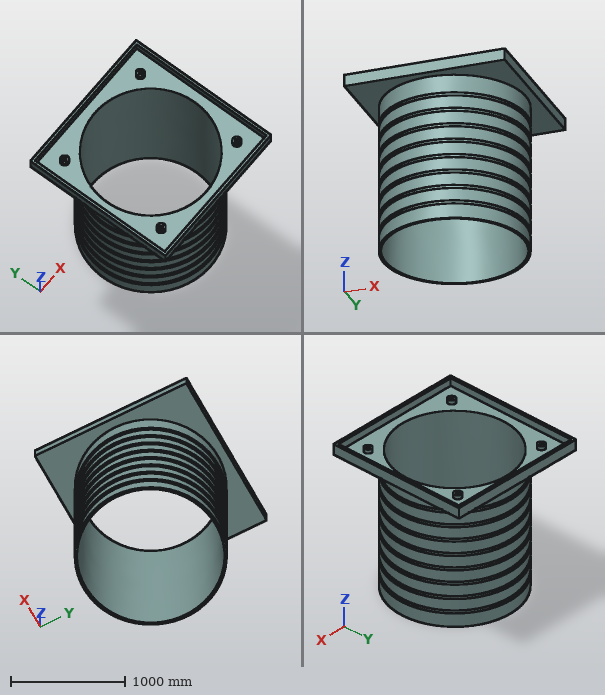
import cadquery as cq

HEIGHT = 1500
FRAME_SIDE = 1500

TRAY_HEIGHT = 110
RIM_WIDTH = 30
POCKET_DEPTH = 80

TUBE_DIAMETER = 1330
GROOVE_DIAMETER = 1320
BORE_TOP_DIAMETER = 1240
BORE_BOTTOM_DIAMETER = 1290
GROOVE_COUNT = 8
GROOVE_PITCH = 150
GROOVE_WIDTH = 30
FIRST_GROOVE_BOTTOM = 140

BUSHING_DIAMETER = 80
BUSHING_HOLE_DIAMETER = 35
BUSHING_HEIGHT = 40
BUSHING_OFFSET = 536

TRAY_BOTTOM = HEIGHT - TRAY_HEIGHT
TRAY_FLOOR = HEIGHT - POCKET_DEPTH


def level(z):
    """Horizontal sketch plane at height z."""
    return cq.Workplane("XY").workplane(offset=z)


def make_tray():
    """Square plate with a square pocket that leaves a thin upright rim."""
    pocket_side = FRAME_SIDE - 2 * RIM_WIDTH
    plate = level(TRAY_BOTTOM).rect(FRAME_SIDE, FRAME_SIDE).extrude(TRAY_HEIGHT)
    pocket = level(TRAY_FLOOR).rect(pocket_side, pocket_side).extrude(POCKET_DEPTH)
    return plate.cut(pocket)


def make_tube():
    """Round tube body with evenly spaced shallow grooves around the outside."""
    tube = level(0).circle(TUBE_DIAMETER / 2).extrude(TRAY_BOTTOM)
    for index in range(GROOVE_COUNT):
        groove_bottom = FIRST_GROOVE_BOTTOM + index * GROOVE_PITCH
        groove = (
            level(groove_bottom)
            .circle(TUBE_DIAMETER / 2)
            .circle(GROOVE_DIAMETER / 2)
            .extrude(GROOVE_WIDTH)
        )
        tube = tube.cut(groove)
    return tube


def make_bushings():
    """Four hollow bushings, one near each corner of the tray."""
    spacing = 2 * BUSHING_OFFSET
    return (
        level(TRAY_FLOOR)
        .rarray(spacing, spacing, 2, 2)
        .circle(BUSHING_DIAMETER / 2)
        .circle(BUSHING_HOLE_DIAMETER / 2)
        .extrude(BUSHING_HEIGHT)
    )


def make_bore():
    """Opening through tube and tray floor, tapering in towards the tray floor."""
    return (
        level(0)
        .circle(BORE_BOTTOM_DIAMETER / 2)
        .workplane(offset=TRAY_FLOOR)
        .circle(BORE_TOP_DIAMETER / 2)
        .loft(ruled=True)
    )


result = make_tray().union(make_tube()).cut(make_bore()).union(make_bushings())